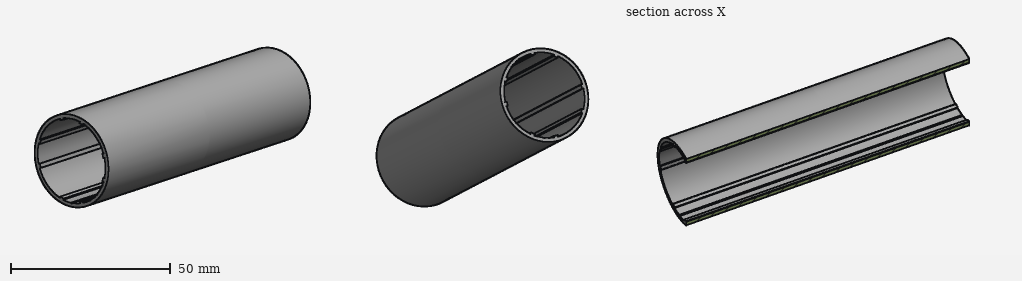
import cadquery as cq

length = 100.0
outer_diameter = 30.0
bore_diameter = 27.4
rib_crest_radius = 13.2
rib_angle = 17.0
rib_width = 1.4
groove_width = 0.6
groove_depth = 0.2
quarter_turn = 90.0

bore_radius = bore_diameter / 2
wall = outer_diameter / 2 - bore_radius


def cylinder(diameter):
    """Solid cylinder along Y, centred on the origin."""
    return cq.Workplane("XZ").circle(diameter / 2).extrude(length / 2, both=True)


def rib_space(angle):
    """Bar left standing in the bore as a rib, at an angle about the Y axis."""
    bar_depth = bore_radius + wall - rib_crest_radius
    return (
        cq.Workplane("XY")
        .box(bar_depth, length + 2 * wall, rib_width)
        .translate((rib_crest_radius + bar_depth / 2, 0, 0))
        .rotate((0, 0, 0), (0, 1, 0), angle)
    )


def bottom_groove():
    """Full-length V groove along the lowest line of the bore."""
    groove_mouth = -bore_radius + groove_depth
    half_mouth = groove_width
    return (
        cq.Workplane("XZ")
        .moveTo(-half_mouth, groove_mouth)
        .lineTo(half_mouth, groove_mouth)
        .lineTo(0, -bore_radius - groove_depth)
        .close()
        .extrude(length / 2, both=True)
    )


bore = cylinder(bore_diameter)
for quarter in range(4):
    for side in (-1, 1):
        bore = bore.cut(rib_space(quarter * quarter_turn + side * rib_angle))

result = cylinder(outer_diameter).cut(bore).cut(bottom_groove())